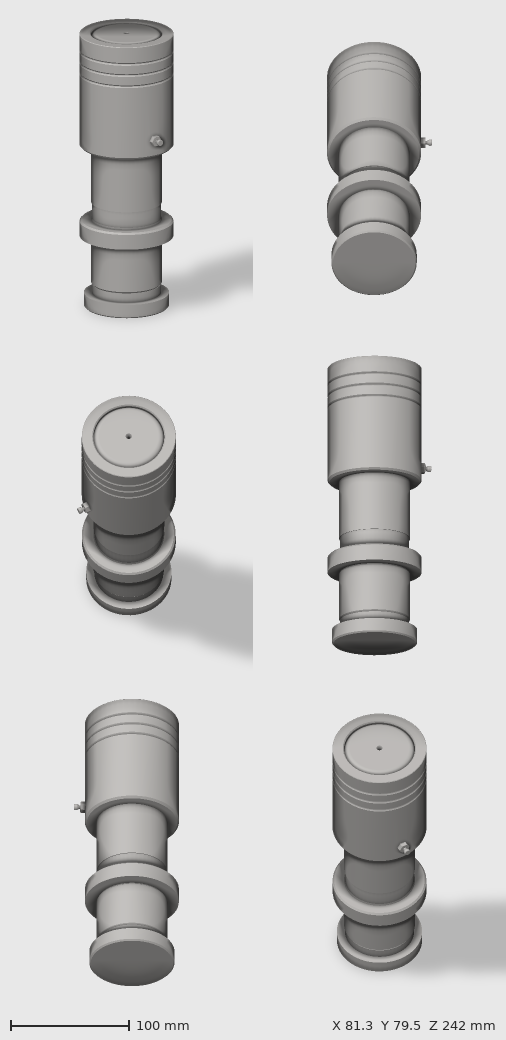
import cadquery as cq
import math

TOTAL_HEIGHT = 242.0
CLEAR = 2.5

DISC_RADIUS = 36.0
DISC_HEIGHT = 12.0
DISC_CHAMFER = 1.2
NECK_RADIUS = 29.3
RETAINER_HEIGHT = 20.0

POST_RADIUS = 30.0
POST_FOOT_CHAMFER = 1.5
COLLAR_RADIUS = 39.7
COLLAR_BOTTOM = 62.5
COLLAR_HEIGHT = 14.5
COLLAR_CHAMFER = 1.5
COLLAR_ROOT_HEIGHT = 1.5
COLLAR_ROOT_WIDTH = 0.7
UNDERCUT_HEIGHT = 0.7
WAIST_TOP = 92.5
POST_TOP_FILLET = 4.8
CENTRE_HOLE_RADIUS = 1.2
CENTRE_HOLE_DEPTH = 7.3
COUNTERSINK_RADIUS = 2.7

BUSHING_DIAMETER = 79.5
BUSHING_RADIUS = BUSHING_DIAMETER / 2
BUSHING_HEIGHT = 100.0
BUSHING_FOOT_CHAMFER = 1.7
BUSHING_TOP_CHAMFER = 0.5
BORE_CHAMFER = 1.0
GROOVE_COUNT = 3
GROOVE_PITCH = 10.0
FIRST_GROOVE_DEPTH_FROM_TOP = 15.0
GROOVE_HALF_WIDTH = 1.2
GROOVE_DEPTH = 1.2

NIPPLE_ANGLE = -35.0
NIPPLE_HEIGHT = 157.0
SHANK_START = 33.5
SHANK_RADIUS = 3.0
HEX_START = 39.2
HEX_END = 43.5
HEX_ACROSS_FLATS = 8.2
NIPPLE_NECK_RADIUS = 1.5
NIPPLE_NECK_END = 44.3
TIP_RADIUS = 2.7
TIP_START = 46.7
TIP_END = 49.0
TIP_CHAMFER = 0.2


def revolve_about_z(points):
    """Turn a closed (radius, height) outline about the Z axis."""
    return cq.Workplane("XZ").polyline(points).close().revolve(360, (0, 0), (0, 1))


def make_retainer():
    return revolve_about_z([
        (0, 0),
        (DISC_RADIUS - DISC_CHAMFER, 0),
        (DISC_RADIUS, DISC_CHAMFER),
        (DISC_RADIUS, DISC_HEIGHT),
        (NECK_RADIUS, DISC_HEIGHT),
        (NECK_RADIUS, RETAINER_HEIGHT),
        (0, RETAINER_HEIGHT),
    ])


def make_post():
    collar_top = COLLAR_BOTTOM + COLLAR_HEIGHT
    undercut_bottom = COLLAR_BOTTOM - UNDERCUT_HEIGHT
    undercut_step = POST_RADIUS - NECK_RADIUS
    post = (
        cq.Workplane("XZ")
        .moveTo(0, RETAINER_HEIGHT)
        .lineTo(POST_RADIUS - POST_FOOT_CHAMFER, RETAINER_HEIGHT)
        .lineTo(POST_RADIUS, RETAINER_HEIGHT + POST_FOOT_CHAMFER)
        .lineTo(POST_RADIUS, undercut_bottom - undercut_step)
        .lineTo(NECK_RADIUS, undercut_bottom)
        .lineTo(NECK_RADIUS, COLLAR_BOTTOM)
        .lineTo(COLLAR_RADIUS, COLLAR_BOTTOM)
        .lineTo(COLLAR_RADIUS, collar_top - COLLAR_CHAMFER)
        .lineTo(COLLAR_RADIUS - COLLAR_CHAMFER, collar_top)
        .lineTo(NECK_RADIUS + COLLAR_ROOT_WIDTH, collar_top)
        .lineTo(NECK_RADIUS, collar_top + COLLAR_ROOT_HEIGHT)
        .lineTo(NECK_RADIUS, WAIST_TOP)
        .lineTo(POST_RADIUS, WAIST_TOP)
        .lineTo(POST_RADIUS, TOTAL_HEIGHT - POST_TOP_FILLET)
        .radiusArc((POST_RADIUS - POST_TOP_FILLET, TOTAL_HEIGHT), -POST_TOP_FILLET)
        .lineTo(0, TOTAL_HEIGHT)
        .close()
        .revolve(360, (0, 0), (0, 1))
    )
    return post.cut(make_centre_hole())


def make_centre_hole():
    """Blind centre hole with a 60 degree countersink."""
    countersink_depth = (COUNTERSINK_RADIUS - CENTRE_HOLE_RADIUS) / math.tan(math.radians(30))
    return revolve_about_z([
        (0, TOTAL_HEIGHT),
        (COUNTERSINK_RADIUS, TOTAL_HEIGHT),
        (CENTRE_HOLE_RADIUS, TOTAL_HEIGHT - countersink_depth),
        (CENTRE_HOLE_RADIUS, TOTAL_HEIGHT - CENTRE_HOLE_DEPTH),
        (0, TOTAL_HEIGHT - CENTRE_HOLE_DEPTH),
    ])


def make_groove(height):
    """V-shaped ring that cuts into the bushing's outer wall."""
    return revolve_about_z([
        (BUSHING_RADIUS - GROOVE_DEPTH, height),
        (BUSHING_RADIUS, height + GROOVE_HALF_WIDTH),
        (BUSHING_RADIUS + CLEAR, height + GROOVE_HALF_WIDTH),
        (BUSHING_RADIUS + CLEAR, height - GROOVE_HALF_WIDTH),
        (BUSHING_RADIUS, height - GROOVE_HALF_WIDTH),
    ])


def make_bushing(nipple):
    bottom = TOTAL_HEIGHT - BUSHING_HEIGHT
    bushing = revolve_about_z([
        (POST_RADIUS, bottom),
        (BUSHING_RADIUS - BUSHING_FOOT_CHAMFER, bottom),
        (BUSHING_RADIUS, bottom + BUSHING_FOOT_CHAMFER),
        (BUSHING_RADIUS, TOTAL_HEIGHT - BUSHING_TOP_CHAMFER),
        (BUSHING_RADIUS - BUSHING_TOP_CHAMFER, TOTAL_HEIGHT),
        (POST_RADIUS + BORE_CHAMFER, TOTAL_HEIGHT),
        (POST_RADIUS, TOTAL_HEIGHT - BORE_CHAMFER),
    ])
    for index in range(GROOVE_COUNT):
        depth_from_top = FIRST_GROOVE_DEPTH_FROM_TOP + index * GROOVE_PITCH
        bushing = bushing.cut(make_groove(TOTAL_HEIGHT - depth_from_top))
    return bushing.cut(nipple)


def revolve_about_x(points):
    """Turn a closed (distance along X, radius) outline about the X axis."""
    return cq.Workplane("XY").polyline(points).close().revolve(360, (0, 0), (1, 0))


def make_nipple_hexagon():
    """Hexagon along +X, flats facing up and down, outer corners chamfered at 30 degrees."""
    face_radius = HEX_ACROSS_FLATS / 2
    corner_radius = face_radius / math.cos(math.radians(30))
    chamfer_length = (corner_radius - face_radius) * math.tan(math.radians(30))
    hexagon = (
        cq.Workplane("YZ", origin=(HEX_START, 0, 0))
        .polygon(6, 2 * corner_radius)
        .extrude(HEX_END - HEX_START)
    )
    corner_envelope = revolve_about_x([
        (HEX_START, 0),
        (HEX_START, corner_radius),
        (HEX_END - chamfer_length, corner_radius),
        (HEX_END, face_radius),
        (HEX_END, 0),
    ])
    return hexagon.intersect(corner_envelope)


def make_nipple():
    """Hexagonal grease nipple, built along +X and then turned about Z."""
    turned = revolve_about_x([
        (SHANK_START, 0),
        (SHANK_START, SHANK_RADIUS),
        (HEX_START, SHANK_RADIUS),
        (HEX_START, NIPPLE_NECK_RADIUS),
        (NIPPLE_NECK_END, NIPPLE_NECK_RADIUS),
        (TIP_START, TIP_RADIUS),
        (TIP_END - TIP_CHAMFER, TIP_RADIUS),
        (TIP_END, TIP_RADIUS - TIP_CHAMFER),
        (TIP_END, 0),
    ])
    nipple = turned.union(make_nipple_hexagon())
    return nipple.rotate((0, 0, 0), (0, 0, 1), NIPPLE_ANGLE).translate((0, 0, NIPPLE_HEIGHT))


retainer = make_retainer()
post = make_post()
nipple = make_nipple()
bushing = make_bushing(nipple)

result = cq.Compound.makeCompound([retainer.val(), post.val(), bushing.val(), nipple.val()])